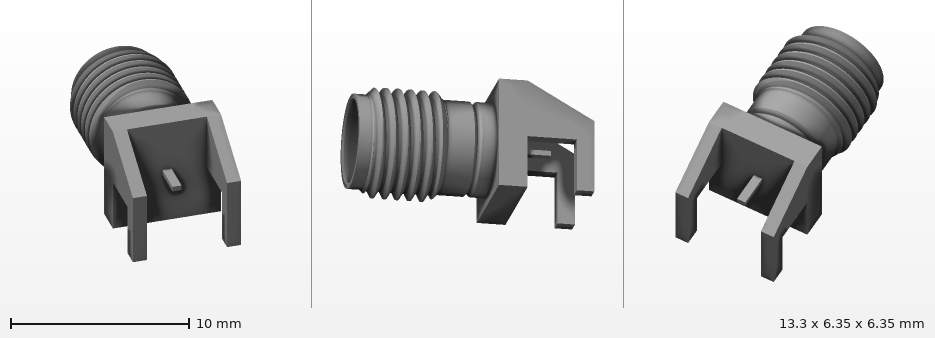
import cadquery as cq
import math

TOTAL_LENGTH = 13.34
FLANGE_SIZE = 6.35
FLANGE_FRONT = 7.88
FLANGE_BACK = 9.52

BARREL_DIAMETER = 5.36
GROOVE_START = 6.62
GROOVE_END = 7.03
GROOVE_DEPTH = 0.21

THREAD_START = 0.76
THREAD_END = 5.11
THREAD_PITCH = 0.71
THREAD_ROOT_DIAMETER = 5.48
THREAD_CREST_DIAMETER = 6.25
THREAD_CREST_WIDTH = 0.1
THREAD_FLANK_ANGLE = 30.0
THREAD_TOP_CREST = 1.77
THREAD_EMBED = 0.05

BORE_DIAMETER = 4.64
BORE_MOUTH_DIAMETER = 4.85
BORE_DEPTH = 1.9
BORE_FLOOR_CHAMFER = 0.05

SOCKET_MOUTH_DIAMETER = 1.04
SOCKET_DIAMETER = 0.96
SOCKET_DEPTH = 1.6
SOCKET_TIP_ANGLE = 59.0

ARM_THICKNESS = 0.83
ARM_END_TOP = 1.03
ARM_UNDERSIDE = -0.15
LEG_WIDTH = 1.0

PIN_END = 11.45
PIN_WIDTH = 0.53


def turned(points):
    """Revolve an (x, radius) outline about the X axis."""
    return cq.Workplane("XY").polyline(points).close().revolve(360, (0, 0, 0), (1, 0, 0))


def make_barrel():
    radius = BARREL_DIAMETER / 2
    groove_middle = (GROOVE_START + GROOVE_END) / 2
    return turned([
        (0, 0),
        (0, radius),
        (GROOVE_START, radius),
        (groove_middle, radius - GROOVE_DEPTH),
        (GROOVE_END, radius),
        (FLANGE_FRONT, radius),
        (FLANGE_FRONT, 0),
    ])


def make_thread():
    """Right-hand thread whose two ends are trimmed by 45 degree chamfers."""
    barrel_radius = BARREL_DIAMETER / 2
    root_radius = THREAD_ROOT_DIAMETER / 2
    crest_radius = THREAD_CREST_DIAMETER / 2
    ridge_base = root_radius - THREAD_EMBED
    crest_half = THREAD_CREST_WIDTH / 2
    flank_run = (crest_radius - ridge_base) * math.tan(math.radians(THREAD_FLANK_ANGLE))
    base_half = crest_half + flank_run

    ridge_start = THREAD_TOP_CREST - 2 * THREAD_PITCH
    turns = math.ceil((THREAD_END - ridge_start) / THREAD_PITCH) + 1
    helix = cq.Wire.makeHelix(THREAD_PITCH, turns * THREAD_PITCH, ridge_base)
    ridge = (
        cq.Workplane("XZ")
        .polyline([
            (ridge_base, -base_half),
            (crest_radius, -crest_half),
            (crest_radius, crest_half),
            (ridge_base, base_half),
        ])
        .close()
        .sweep(cq.Workplane(helix), isFrenet=True)
        .rotate((0, 0, 0), (0, 1, 0), 90)
        .rotate((0, 0, 0), (1, 0, 0), 180)
        .translate((ridge_start, 0, 0))
    )

    core = (
        cq.Workplane("YZ")
        .circle(root_radius)
        .extrude((turns + 2) * THREAD_PITCH)
        .translate((ridge_start - THREAD_PITCH, 0, 0))
    )

    half_length = (THREAD_END - THREAD_START) / 2
    end_cones = turned([
        (THREAD_START, 0),
        (THREAD_START, barrel_radius),
        (THREAD_START + half_length, barrel_radius + half_length),
        (THREAD_END, barrel_radius),
        (THREAD_END, 0),
    ])
    return core.union(ridge).intersect(end_cones)


def make_bore():
    """Mating cavity with a chamfered mouth and a small chamfer around its floor."""
    radius = BORE_DIAMETER / 2
    mouth_radius = BORE_MOUTH_DIAMETER / 2
    return turned([
        (0, 0),
        (0, mouth_radius),
        (mouth_radius - radius, radius),
        (BORE_DEPTH - BORE_FLOOR_CHAMFER, radius),
        (BORE_DEPTH, radius - BORE_FLOOR_CHAMFER),
        (BORE_DEPTH, 0),
    ])


def make_socket():
    """Blind contact hole in the cavity floor with a conical bottom."""
    radius = SOCKET_DIAMETER / 2
    mouth_radius = SOCKET_MOUTH_DIAMETER / 2
    bottom = BORE_DEPTH + SOCKET_DEPTH
    tip = bottom + radius / math.tan(math.radians(SOCKET_TIP_ANGLE))
    return turned([
        (BORE_DEPTH, 0),
        (BORE_DEPTH, mouth_radius),
        (BORE_DEPTH + mouth_radius - radius, radius),
        (bottom, radius),
        (tip, 0),
    ])


def make_flange():
    return (
        cq.Workplane("XY")
        .box(FLANGE_BACK - FLANGE_FRONT, FLANGE_SIZE, FLANGE_SIZE)
        .translate(((FLANGE_FRONT + FLANGE_BACK) / 2, 0, 0))
    )


def make_arm(side):
    """Sloped arm with a downward leg; side is -1 or +1 along Y."""
    half = FLANGE_SIZE / 2
    leg_front = TOTAL_LENGTH - LEG_WIDTH
    middle_y = side * (half - ARM_THICKNESS / 2)
    return (
        cq.Workplane("XZ")
        .polyline([
            (FLANGE_BACK, half),
            (TOTAL_LENGTH, ARM_END_TOP),
            (TOTAL_LENGTH, -half),
            (leg_front, -half),
            (leg_front, ARM_UNDERSIDE),
            (FLANGE_BACK, ARM_UNDERSIDE),
        ])
        .close()
        .extrude(ARM_THICKNESS / 2, both=True)
        .translate((0, middle_y, 0))
    )


def make_pin():
    """Flat contact pin whose underside is level with the undersides of the arms."""
    return (
        cq.Workplane("XY")
        .box(PIN_END - FLANGE_BACK, PIN_WIDTH, -2 * ARM_UNDERSIDE)
        .translate(((FLANGE_BACK + PIN_END) / 2, 0, 0))
    )


body = make_barrel().union(make_thread()).union(make_flange())
for side in (-1, 1):
    body = body.union(make_arm(side))
result = body.union(make_pin()).cut(make_bore()).cut(make_socket())